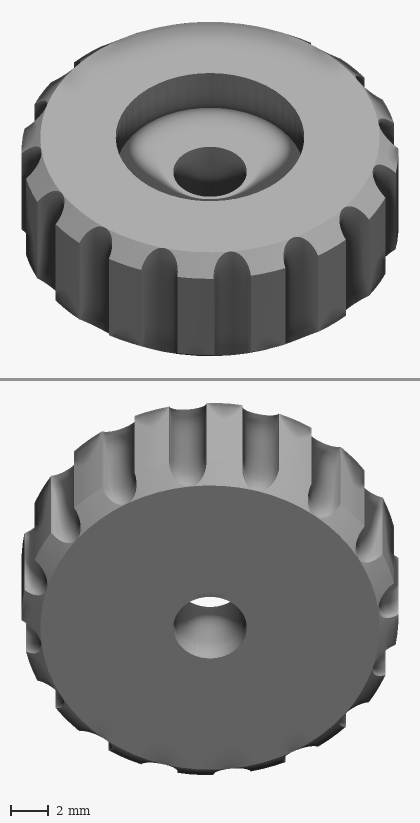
import cadquery as cq

body_diameter = 20.0
height = 7.5
edge_chamfer = 1.0
flute_count = 16
flute_radius = 1.0
recess_diameter = 10.0
recess_depth = 2.5
bore_diameter = 3.9

body_radius = body_diameter / 2


def knob_body():
    """Disc standing on Z = 0 with both rims chamfered."""
    disc = cq.Workplane("XY").circle(body_radius).extrude(height)
    return disc.edges("%CIRCLE").chamfer(edge_chamfer)


def grip_flutes():
    """Round grooves centred on the outer surface, the first on +X."""
    return (
        cq.Workplane("XY")
        .polarArray(body_radius, 0, 360, flute_count)
        .circle(flute_radius)
        .extrude(height)
    )


def stepped_bore():
    """Through bore opening into a wider flat recess in the top face."""
    bore = cq.Workplane("XY").circle(bore_diameter / 2).extrude(height)
    recess = (
        cq.Workplane("XY")
        .workplane(offset=height - recess_depth)
        .circle(recess_diameter / 2)
        .extrude(recess_depth)
    )
    return bore.union(recess)


result = knob_body().cut(grip_flutes()).cut(stepped_bore())